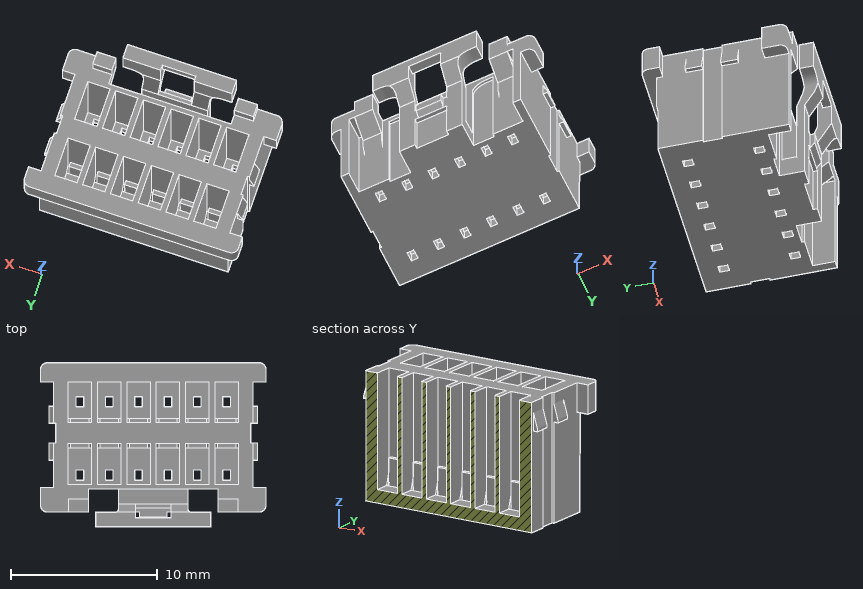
import cadquery as cq
import math


body_width = 13.6
body_depth = 10.2
body_height = 9.3
back_inset_upper = 0.9
back_inset_lower = 0.98
back_taper_bottom = 3.85
back_taper_top = 4.35
side_groove_depth = 0.15
side_groove_front = 4.72
side_groove_back = 6.05

flange_width = 15.4
flange_bottom = 7.2
front_flange_depth = 1.7
back_flange_depth = 1.33
flange_corner_radius = 0.5

recess_depth = 1.58
recess_width = 12.4
lintel_bottom = 8.2
lintel_gap = 8.8

post_width = 1.38
post_depth = 0.9
post_height = 10.5
bracket_front = 1.38
bracket_face_top = 7.1
bracket_face_bottom = 6.2
bracket_bottom = 5.27

arm_width = 4.75
arm_thickness = 0.57
arm_foot_height = 1.6
arm_bend_height = 6.72
arm_back_bend_end = 8.33
head_width = 7.85
head_thickness = 1.0
head_bottom = 8.75
head_top = 11.15
head_front_bottom = 8.43
head_fillet = 1.0
relief_depth = 0.2

window_width = 2.4
window_top = 10.15
window_bar_back = -0.37
slot_depth = 0.3
tooth_width = 1.88
tooth_projection = 0.35
tooth_bottom = 3.85
tooth_face_bottom = 4.35
tooth_top = 5.23

cavity_columns = 6
cavity_pitch = 2.0
cavity_width = 1.6
cavity_depth = 2.78
row_centres = (3.29, 7.49)
cavity_floor = 1.0
pin_hole_width = 0.5
pin_hole_depth = 0.68
pin_hole_centres = (2.53, 7.53)
ramp_depth = 0.3
ramp_height = 1.0
ledge_width = 1.25

bump_projection = 0.32
bump_length = 1.18
bump_top = 8.5
bump_face_top = 7.4

row_mid = (side_groove_front + side_groove_back) / 2


def box(x_range, y_range, z_range):
    """Box between pairs of X, Y and Z limits."""
    size = [limits[1] - limits[0] for limits in (x_range, y_range, z_range)]
    corner = (x_range[0], y_range[0], z_range[0])
    return cq.Workplane("XY").box(*size, centered=False).translate(corner)


def centred_box(width, y_range, z_range):
    """Box that is symmetric about X = 0."""
    return box((-width / 2, width / 2), y_range, z_range)


def yz_prism(points, x_start, width):
    """Prism along +X from x_start with an outline of (y, z) points."""
    return cq.Workplane("YZ", origin=(x_start, 0, 0)).polyline(points).close().extrude(width)


def both_sides(shape):
    """The shape together with its mirror image across X = 0."""
    return shape.union(shape.mirror("YZ"))


def housing():
    """Main block with its stepped back wall and a shallow groove in each side."""
    back_upper = body_depth - back_inset_upper
    back_lower = body_depth - back_inset_lower
    profile = [
        (0, 0),
        (back_lower, 0),
        (back_lower, back_taper_bottom),
        (back_upper, back_taper_top),
        (back_upper, body_height),
        (0, body_height),
    ]
    block = yz_prism(profile, -body_width / 2, body_width)
    groove_x = (body_width / 2 - side_groove_depth, body_width / 2)
    groove = box(groove_x, (side_groove_front, side_groove_back), (0, body_height))
    return block.cut(both_sides(groove))


def flanges():
    """Front and back flanges, rounded at the four outer corners."""
    levels = (flange_bottom, body_height)
    front = centred_box(flange_width, (0, front_flange_depth), levels)
    back = centred_box(flange_width, (body_depth - back_flange_depth, body_depth), levels)
    front = front.edges("|Z and <Y").fillet(flange_corner_radius)
    back = back.edges("|Z and >Y").fillet(flange_corner_radius)
    return front.union(back)


def latch_recess():
    """Space in front of the contacts, open at the top between the two lintels."""
    lower = centred_box(recess_width, (0, recess_depth), (0, lintel_bottom))
    upper = centred_box(lintel_gap, (0, recess_depth), (lintel_bottom, body_height))
    return lower.union(upper)


def arm_outline(depth_start, depth):
    """Front outline of the latch: arm, flared corners and head, extruded along +Y."""
    half_arm = arm_width / 2
    half_head = head_width / 2
    flare_start = head_bottom - head_fillet
    flare_end = half_arm + head_fillet
    arc_offset = head_fillet * (1 - math.sqrt(0.5))
    arc_mid = (half_arm + arc_offset, head_bottom - arc_offset)
    return (
        cq.Workplane("XZ", origin=(0, depth_start, 0))
        .moveTo(-half_arm, 0)
        .lineTo(half_arm, 0)
        .lineTo(half_arm, flare_start)
        .threePointArc(arc_mid, (flare_end, head_bottom))
        .lineTo(half_head, head_bottom)
        .lineTo(half_head, head_top)
        .lineTo(-half_head, head_top)
        .lineTo(-half_head, head_bottom)
        .lineTo(-flare_end, head_bottom)
        .threePointArc((-arc_mid[0], arc_mid[1]), (-half_arm, flare_start))
        .close()
        .extrude(-depth)
    )


def wall_reliefs():
    """Shallow reliefs in the recess wall beside the latch arm, below the head."""
    band = centred_box(
        head_width, (recess_depth, recess_depth + relief_depth), (0, head_bottom)
    )
    return band.cut(arm_outline(recess_depth, relief_depth))


def bracket():
    """Bracket below the lintel that slopes back into the recess wall."""
    profile = [
        (0, lintel_bottom),
        (bracket_front, bracket_face_top),
        (bracket_front, bracket_face_bottom),
        (recess_depth, bracket_bottom),
        (recess_depth, lintel_bottom),
    ]
    return yz_prism(profile, lintel_gap / 2, post_width)


def post():
    """Upright post at the inner end of a lintel."""
    x_range = (lintel_gap / 2, lintel_gap / 2 + post_width)
    return box(x_range, (0, post_depth), (body_height, post_height))


def latch():
    """Latch arm that rises from a foot, bends forward and carries a wide head."""
    side_profile = [
        (0, 0),
        (recess_depth, 0),
        (recess_depth, arm_foot_height),
        (arm_thickness, arm_foot_height),
        (arm_thickness, arm_bend_height),
        (0, arm_back_bend_end),
        (0, head_top),
        (-head_thickness, head_top),
        (-head_thickness, head_front_bottom),
        (0, arm_bend_height),
    ]
    side_shape = yz_prism(side_profile, -head_width / 2, head_width)
    front_shape = arm_outline(-head_thickness, head_thickness + recess_depth)
    arm = side_shape.intersect(front_shape)

    window = centred_box(
        window_width, (-head_thickness, arm_thickness), (arm_bend_height, window_top)
    )
    bar_relief = centred_box(window_width, (window_bar_back, 0), (window_top, head_top))
    lower_slot = centred_box(window_width, (0, slot_depth), (0, tooth_bottom))
    upper_slot = centred_box(window_width, (0, slot_depth), (tooth_top, arm_bend_height))
    arm = arm.cut(window).cut(bar_relief).cut(lower_slot).cut(upper_slot)

    tooth_profile = [
        (0, tooth_bottom),
        (-tooth_projection, tooth_face_bottom),
        (-tooth_projection, tooth_top),
        (0, tooth_top),
    ]
    return arm.union(yz_prism(tooth_profile, -tooth_width / 2, tooth_width))


def cavity(row):
    """Contact cavity at X = 0, with a ramp and a ledge on its inner wall and a pin hole."""
    centre = row_centres[row]
    inward = 1 if centre < row_mid else -1
    inner_wall = centre + inward * cavity_depth / 2
    ramp_foot = inner_wall - inward * ramp_depth
    ramp_top = cavity_floor + ramp_height
    ledge_top = ramp_top + ramp_height

    hollow = centred_box(
        cavity_width,
        (centre - cavity_depth / 2, centre + cavity_depth / 2),
        (cavity_floor, body_height),
    )
    ramp_profile = [
        (inner_wall, cavity_floor),
        (ramp_foot, cavity_floor),
        (inner_wall, ramp_top),
    ]
    ramp = yz_prism(ramp_profile, -cavity_width / 2, cavity_width)
    ledge_y = sorted((ramp_foot, inner_wall))
    ledge = centred_box(ledge_width, ledge_y, (cavity_floor, ledge_top))

    hole_centre = pin_hole_centres[row]
    hole_y = (hole_centre - pin_hole_depth / 2, hole_centre + pin_hole_depth / 2)
    pin_hole = centred_box(pin_hole_width, hole_y, (0, cavity_floor))
    return hollow.cut(ramp).cut(ledge).union(pin_hole)


def cavities():
    """Two rows of contact cavities."""
    first_x = -cavity_pitch * (cavity_columns - 1) / 2
    pockets = cq.Workplane("XY")
    for row in range(len(row_centres)):
        pocket = cavity(row)
        for column in range(cavity_columns):
            x = first_x + column * cavity_pitch
            pockets.add(pocket.translate((x, 0, 0)))
    return pockets.combine()


def side_bumps():
    """Ramped bumps on the +X side, one on each edge of the side groove."""
    wall = body_width / 2
    profile = [
        (wall, bump_top),
        (wall + bump_projection, bump_face_top),
        (wall + bump_projection, flange_bottom),
        (wall, flange_bottom),
    ]
    bumps = cq.Workplane("XY")
    for end in (side_groove_front, side_groove_back + bump_length):
        plane = cq.Workplane("XZ", origin=(0, end, 0))
        bumps.add(plane.polyline(profile).close().extrude(bump_length))
    return bumps.combine()


result = (
    housing()
    .union(flanges())
    .cut(latch_recess())
    .cut(wall_reliefs())
    .cut(cavities())
    .union(both_sides(bracket()))
    .union(both_sides(post()))
    .union(latch())
    .union(both_sides(side_bumps()))
)